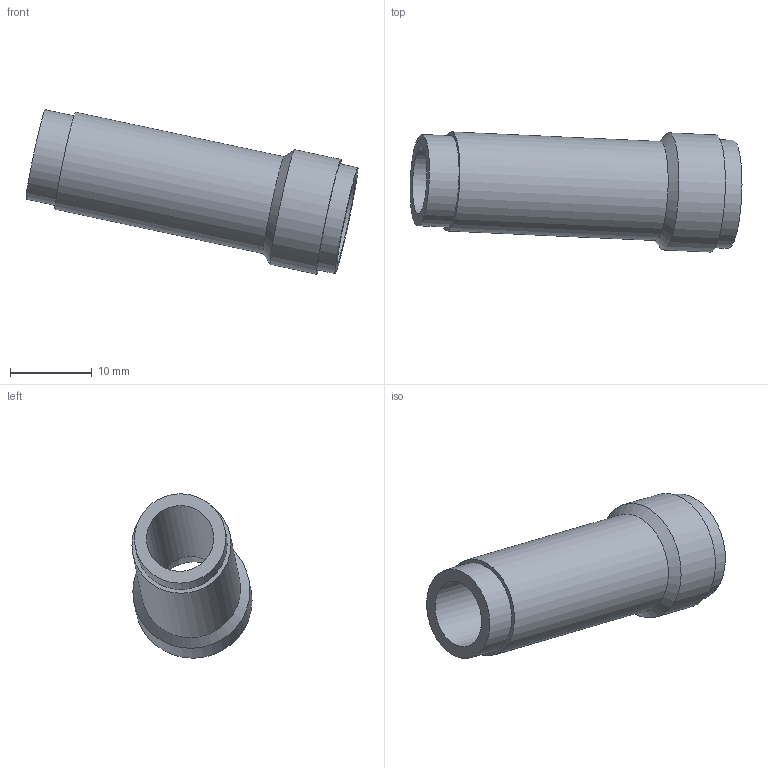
import cadquery as cq

AXIS_DROP_PER_X = 0.213
AXIS_SIDE_PER_X = 0.0455

SPIGOT_LENGTH = 3.7
BODY_LENGTH = 26.0
SHOULDER_LENGTH = 1.1
COLLAR_LENGTH = 5.8
RIM_LENGTH = 2.2

SPIGOT_DIAMETER = 11.15
BODY_DIAMETER = 12.1
COLLAR_DIAMETER = 14.3
RIM_DIAMETER = 13.2

BORE_DIAMETER = 8.2
MOUTH_DIAMETER = 10.7
FLARE_LENGTH = 9.0

BODY_START = SPIGOT_LENGTH
SHOULDER_START = BODY_START + BODY_LENGTH
COLLAR_START = SHOULDER_START + SHOULDER_LENGTH
RIM_START = COLLAR_START + COLLAR_LENGTH
TOTAL_LENGTH = RIM_START + RIM_LENGTH

AXIS = cq.Vector(1, -AXIS_SIDE_PER_X, -AXIS_DROP_PER_X).normalized()


def cylinder(start, length, diameter):
    """Cylinder on the sleeve axis, starting at an axial station."""
    return cq.Workplane(cq.Solid.makeCylinder(diameter / 2, length, AXIS * start, AXIS))


def cone(start, length, start_diameter, end_diameter):
    """Truncated cone on the sleeve axis, starting at an axial station."""
    return cq.Workplane(
        cq.Solid.makeCone(start_diameter / 2, end_diameter / 2, length, AXIS * start, AXIS)
    )


def outer_sleeve():
    spigot = cylinder(0, SPIGOT_LENGTH, SPIGOT_DIAMETER)
    body = cylinder(BODY_START, BODY_LENGTH, BODY_DIAMETER)
    shoulder = cone(SHOULDER_START, SHOULDER_LENGTH, BODY_DIAMETER, COLLAR_DIAMETER)
    collar = cylinder(COLLAR_START, COLLAR_LENGTH, COLLAR_DIAMETER)
    rim = cylinder(RIM_START, RIM_LENGTH, RIM_DIAMETER)
    return spigot.union(body).union(shoulder).union(collar).union(rim)


def inner_passage():
    bore = cylinder(0, TOTAL_LENGTH, BORE_DIAMETER)
    flare = cone(TOTAL_LENGTH - FLARE_LENGTH, FLARE_LENGTH, BORE_DIAMETER, MOUTH_DIAMETER)
    return bore.union(flare)


result = outer_sleeve().cut(inner_passage())